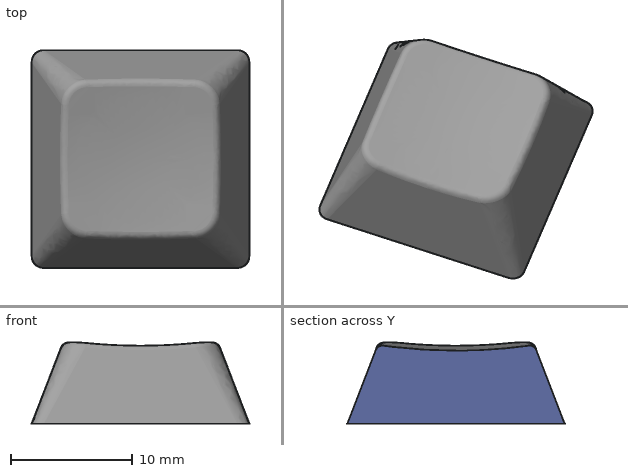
import cadquery as cq

base_size = 18.0
base_corner_radius = 1.0
loft_top_size = 12.6
loft_top_corner_radius = 2.1
loft_height = 7.0

dish_radius = 44.1
dish_bottom_height = 6.07
rim_radius = 0.6


def rounded_square(size, corner_radius, height):
    """Sketch of a centred square with rounded corners at a given height."""
    sketch = cq.Sketch().rect(size, size).vertices().fillet(corner_radius)
    return sketch.moved(cq.Location(cq.Vector(0, 0, height)))


def make_skirt():
    """Solid loft from the wide base to the narrower, rounder top."""
    base = rounded_square(base_size, base_corner_radius, 0)
    top = rounded_square(loft_top_size, loft_top_corner_radius, loft_height)
    return cq.Workplane("XY").placeSketch(base, top).loft(ruled=True)


def cut_dish(body):
    """Hollow the top with a shallow spherical dish."""
    ball = cq.Workplane("XY").sphere(dish_radius)
    return body.cut(ball.translate((0, 0, dish_bottom_height + dish_radius)))


def round_rim(body):
    """Round the edges where the dish meets the skirt."""
    return body.faces("%SPHERE").edges().fillet(rim_radius)


result = round_rim(cut_dish(make_skirt()))